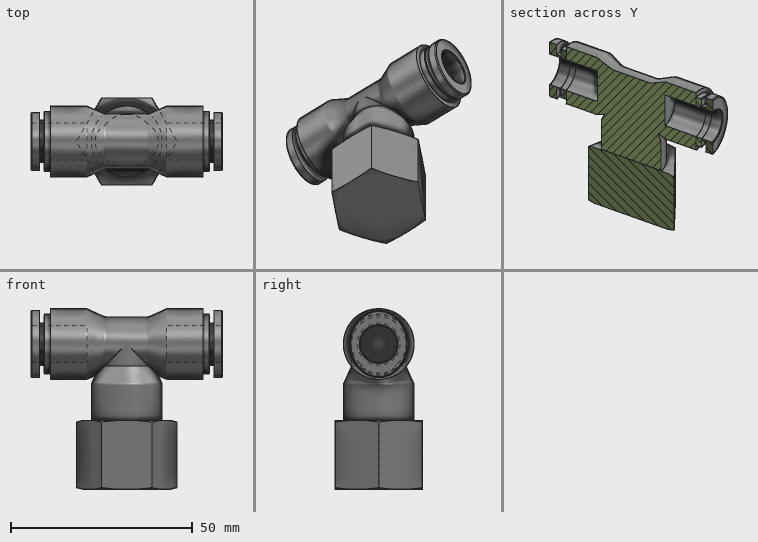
import cadquery as cq
import math

waist_radius = 15.0 / 2
barrel_radius = 19.5 / 2
cone_start = 6.0
cone_end = 11.0
barrel_end = 21.0
branch_end = barrel_end
cone_blend_radius = 1.0
selection_margin = 1.0
tube_bore_radius = 10.2 / 2
bore_floor = cone_end

ring_radius = 16.5 / 2
ring_bore_radius = 10.15 / 2
ring_width = 1.8
ring_chamfer = 0.2
ring_end = barrel_end + ring_width

run_half_length = 52.8 / 2
flange_width = 16.0
flange_height = 18.5
flange_thickness = 2.4
flange_chamfer = 0.3
neck_radius = 11.7 / 2
sleeve_mouth_chamfer = 0.25
flange_inner_face = run_half_length - flange_thickness

overall_height = 49.75
hex_across_flats = 24.0
hex_across_corners = hex_across_flats / math.cos(math.radians(30))
hex_height = overall_height - barrel_radius - branch_end
hex_chamfer_angle = 15.0


def make_run():
    """Solid run: narrow waist, two cones and two barrels, with the bends blended."""
    half = (
        cq.Workplane("XY")
        .polyline([
            (0, 0),
            (0, waist_radius),
            (cone_start, waist_radius),
            (cone_end, barrel_radius),
            (barrel_end, barrel_radius),
            (barrel_end, 0),
        ])
        .close()
        .revolve(360, (0, 0, 0), (1, 0, 0))
    )
    reach = barrel_radius + selection_margin
    bends = cq.selectors.BoxSelector(
        (cone_start - selection_margin, -reach, -reach),
        (cone_end + selection_margin, reach, reach),
    )
    half = half.edges("%CIRCLE").edges(bends).fillet(cone_blend_radius)
    return half.union(half.mirror("YZ"))


def make_branch():
    """Solid branch: waist, cone with a blended shoulder, and barrel."""
    branch = (
        cq.Workplane("XZ")
        .polyline([
            (0, 0),
            (waist_radius, 0),
            (waist_radius, -cone_start),
            (barrel_radius, -cone_end),
            (barrel_radius, -branch_end),
            (0, -branch_end),
        ])
        .close()
        .revolve(360, (0, 0, 0), (0, 1, 0))
    )
    reach = barrel_radius + selection_margin
    shoulder = cq.selectors.BoxSelector(
        (-reach, -reach, -cone_end - selection_margin),
        (reach, reach, -cone_end + selection_margin),
    )
    return branch.edges("%CIRCLE").edges(shoulder).fillet(cone_blend_radius)


def make_tee():
    """Tee body with a blind tube bore in each end of the run."""
    bore_depth = barrel_end - bore_floor
    bore = cq.Workplane("YZ", origin=(bore_floor, 0, 0)).circle(tube_bore_radius).extrude(bore_depth)
    return make_run().union(make_branch()).cut(bore).cut(bore.mirror("YZ"))


def make_ring():
    """Retaining ring on the +X end, chamfered at its outer rim."""
    seat = cq.Workplane("YZ", origin=(barrel_end, 0, 0))
    disc = seat.circle(ring_radius).extrude(ring_width).faces(">X").chamfer(ring_chamfer)
    return disc.cut(seat.circle(ring_bore_radius).extrude(ring_width))


def make_sleeve():
    """Release sleeve on the +X end: round neck, oval flange and through bore."""
    flange = (
        cq.Workplane("YZ", origin=(flange_inner_face, 0, 0))
        .ellipse(flange_width / 2, flange_height / 2)
        .extrude(flange_thickness)
        .faces(">X")
        .chamfer(flange_chamfer)
    )
    neck = cq.Workplane("YZ", origin=(ring_end, 0, 0)).circle(neck_radius).extrude(flange_inner_face - ring_end)
    sleeve = flange.union(neck).faces(">X").workplane().circle(tube_bore_radius).cutThruAll()
    return sleeve.faces(">X").edges("%CIRCLE").chamfer(sleeve_mouth_chamfer)


def make_hex_nut():
    """Hex nut with corners bevelled at both ends by a shallow cone."""
    nut = (
        cq.Workplane("XY", origin=(0, 0, -branch_end))
        .polygon(6, hex_across_corners)
        .extrude(-hex_height)
    )
    flat_radius = hex_across_flats / 2
    corner_radius = hex_across_corners / 2
    bevel_height = (corner_radius - flat_radius) * math.tan(math.radians(hex_chamfer_angle))
    nut_bottom = -branch_end - hex_height
    bevelled_blank = (
        cq.Workplane("XZ")
        .polyline([
            (0, -branch_end),
            (flat_radius, -branch_end),
            (corner_radius, -branch_end - bevel_height),
            (corner_radius, nut_bottom + bevel_height),
            (flat_radius, nut_bottom),
            (0, nut_bottom),
        ])
        .close()
        .revolve(360, (0, 0, 0), (0, 1, 0))
    )
    return nut.intersect(bevelled_blank)


def on_both_ends(part):
    """Return the +X end part and its mirror image on the -X end, as separate solids."""
    return [part.solids().val(), part.mirror("YZ").solids().val()]


tee = make_tee().solids()
hex_nut = make_hex_nut().solids()
rings = on_both_ends(make_ring())
sleeves = on_both_ends(make_sleeve())

result = cq.Compound.makeCompound([tee.val(), hex_nut.val(), *rings, *sleeves])